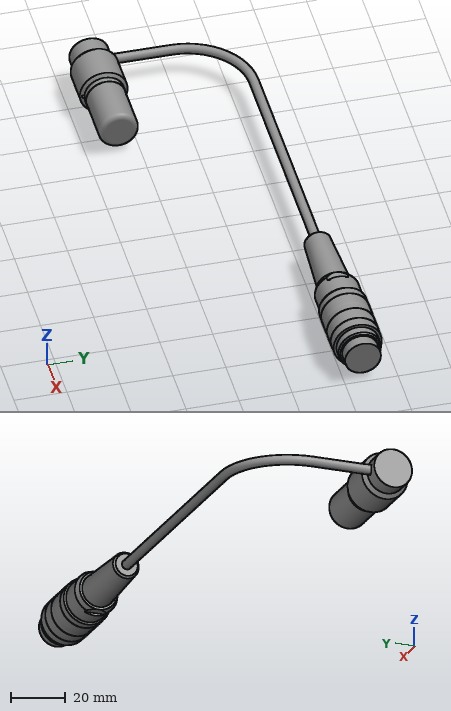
import cadquery as cq

overall_length = 196.2
axis_spacing = 55.0

cable_diameter = 3.7
cable_exit_x = 4.7
cable_bend_radius = 25.0

head_diameter = 15.0
land_diameter = 15.1
head_length = 46.5
head_edge_radius = 2.0
collar_diameter = 18.0
collar_rear_x = 6.9
collar_full_x = 8.5
collar_full_end_x = 22.8
collar_front_x = 23.7
land_end_x = 26.0
cable_socket_depth = 2.0
sight_hole_x = 24.0
sight_hole_diameter = 1.5
sight_hole_depth = 2.0

boot_start_x = 126.2
boot_end_x = 154.0
boot_small_diameter = 10.2
boot_large_diameter = 13.0
boot_edge = 0.8

shell_diameter = 16.9
shell_end_diameter = 15.0
shell_bevel_length = 2.4
ring_diameter = 18.5
grip_diameter = 18.2
grip_start_x = 165.0
grip_bevel = 0.5
rear_ring_start_x = 169.1
rear_ring_end_x = 174.5
front_ring_start_x = 178.0
front_ring_end_x = 183.8
ring_bevel = 0.5
grip_end_x = 188.0
shoulder_diameter = 16.0
shoulder_end_x = 191.7
shoulder_bevel = 0.5
nose_diameter = 13.5
flat_spacing = 15.0
flat_end_x = 158.0


def revolve_about_x(stations, axis_y):
    """Turn (x, diameter) stations into a solid of revolution about a line parallel to X."""
    outline = [(x, diameter / 2) for x, diameter in stations]
    first_x = stations[0][0]
    last_x = stations[-1][0]
    profile = cq.Workplane("XY").polyline([(first_x, 0), *outline, (last_x, 0)]).close()
    return profile.revolve(360, (0, 0, 0), (1, 0, 0)).translate((0, axis_y, 0))


def make_head(cable):
    head = revolve_about_x(
        [
            (0, head_diameter),
            (collar_rear_x, head_diameter),
            (collar_full_x, collar_diameter),
            (collar_full_end_x, collar_diameter),
            (collar_front_x, land_diameter),
            (land_end_x, land_diameter),
            (land_end_x, head_diameter),
            (head_length, head_diameter),
        ],
        0,
    )
    head = head.faces(">X").edges().fillet(head_edge_radius)
    hole_bottom_y = -(head_diameter / 2 - sight_hole_depth)
    sight_hole = (
        cq.Workplane("XZ", origin=(sight_hole_x, hole_bottom_y, 0))
        .circle(sight_hole_diameter / 2)
        .extrude(collar_diameter)
    )
    return head.cut(sight_hole).cut(cable)


def make_cable():
    start_y = head_diameter / 2 - cable_socket_depth
    bend_start_y = axis_spacing - cable_bend_radius
    bend_end_x = cable_exit_x + cable_bend_radius
    path = (
        cq.Workplane("XY")
        .moveTo(cable_exit_x, start_y)
        .lineTo(cable_exit_x, bend_start_y)
        .tangentArcPoint((bend_end_x, axis_spacing), relative=False)
        .lineTo(boot_start_x, axis_spacing)
    )
    section = cq.Workplane("XZ", origin=(cable_exit_x, start_y, 0)).circle(cable_diameter / 2)
    return section.sweep(path)


def make_boot():
    return revolve_about_x(
        [
            (boot_start_x, boot_small_diameter - 2 * boot_edge),
            (boot_start_x + boot_edge, boot_small_diameter),
            (boot_end_x, boot_large_diameter),
        ],
        axis_spacing,
    )


def make_connector():
    connector = revolve_about_x(
        [
            (boot_end_x, shell_end_diameter),
            (boot_end_x + shell_bevel_length, shell_diameter),
            (grip_start_x, shell_diameter),
            (grip_start_x + grip_bevel, grip_diameter),
            (rear_ring_start_x, grip_diameter),
            (rear_ring_start_x, ring_diameter),
            (rear_ring_end_x, ring_diameter),
            (rear_ring_end_x + ring_bevel, grip_diameter),
            (front_ring_start_x, grip_diameter),
            (front_ring_start_x, ring_diameter),
            (front_ring_end_x, ring_diameter),
            (front_ring_end_x, grip_diameter),
            (grip_end_x, grip_diameter),
            (grip_end_x, shoulder_diameter),
            (shoulder_end_x - shoulder_bevel, shoulder_diameter),
            (shoulder_end_x, shoulder_diameter - 2 * shoulder_bevel),
            (shoulder_end_x, nose_diameter),
            (overall_length, nose_diameter),
        ],
        axis_spacing,
    )
    flat_length = flat_end_x - boot_end_x
    flat_center_x = (flat_end_x + boot_end_x) / 2
    for side in (1, -1):
        cutter_center_z = side * (flat_spacing + shell_diameter) / 2
        cutter = cq.Workplane("XY").box(flat_length, shell_diameter, shell_diameter)
        connector = connector.cut(cutter.translate((flat_center_x, axis_spacing, cutter_center_z)))
    return connector


cable = make_cable()
head = make_head(cable)
boot = make_boot()
connector = make_connector()

result = cq.Compound.makeCompound([head.val(), cable.val(), boot.val(), connector.val()])